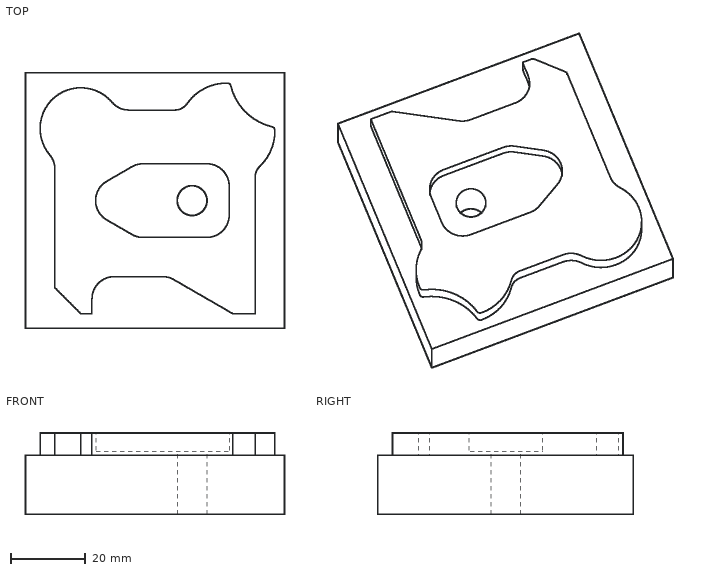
import cadquery as cq
import math

LENGTH = 70.0
WIDTH = 69.0
BASE_HEIGHT = 15.95
TOTAL_HEIGHT = 22.0
PAD_HEIGHT = TOTAL_HEIGHT - BASE_HEIGHT

SIDE_MARGIN = 8.0
PAD_LEFT = SIDE_MARGIN
PAD_RIGHT = LENGTH - SIDE_MARGIN
PAD_BOTTOM = 4.0
PAD_TOP = 58.95
FOOT_CHAMFER = 7.0
LEFT_FOOT_INNER = 18.0
RIGHT_FOOT_INNER = 56.0
ARCH_TOP = 14.0
SLOPE_ANGLE = math.radians(30)

LEFT_LOBE = (15.0, 54.0)
LEFT_LOBE_RADIUS = 11.0
RIGHT_LOBE = (54.3, 53.2)
RIGHT_LOBE_RADIUS = 13.0
CORNER_CUT_RADIUS = 15.0

BLEND_RADIUS = 6.0
RIGHT_BLEND_RADIUS = 4.0
TIP_RADIUS = 1.0

MID_Y = WIDTH / 2
POCKET_RIGHT = 55.0
POCKET_HALF_WIDTH = 9.95
POCKET_NOSE_X = 25.0
POCKET_DEPTH = 5.0
HOLE_X = 45.0
HOLE_DIAMETER = 8.0


def half_chord(radius, distance):
    """Half the length of a circle's chord at a distance from its centre."""
    return math.sqrt(radius**2 - distance**2)


def circle_crossings(center_a, radius_a, center_b, radius_b):
    """Both points where two circles meet."""
    dx = center_b[0] - center_a[0]
    dy = center_b[1] - center_a[1]
    gap = math.hypot(dx, dy)
    along = (gap**2 + radius_a**2 - radius_b**2) / (2 * gap)
    across = half_chord(radius_a, along)
    middle_x = center_a[0] + along * dx / gap
    middle_y = center_a[1] + along * dy / gap
    return [
        (middle_x - side * across * dy / gap, middle_y + side * across * dx / gap)
        for side in (1, -1)
    ]


def round_edges(pad, points, radius):
    """Fillet the vertical edges of the pad at the given plan points."""
    for x, y in points:
        middle = (x, y, BASE_HEIGHT + PAD_HEIGHT / 2)
        pad = pad.edges("|Z").edges(cq.NearestToPointSelector(middle)).fillet(radius)
    return pad


def prism(outline, bottom, height):
    return cq.Workplane("XY", origin=(0, 0, bottom)).polyline(outline).close().extrude(height)


def cylinder(center, radius, bottom, height):
    return cq.Workplane("XY", origin=(0, 0, bottom)).center(*center).circle(radius).extrude(height)


def make_pad():
    slope_run = (ARCH_TOP - PAD_BOTTOM) / math.tan(SLOPE_ANGLE)
    arch_left = (LEFT_FOOT_INNER, ARCH_TOP)
    arch_right = (RIGHT_FOOT_INNER - slope_run, ARCH_TOP)
    outline = [
        (PAD_LEFT, PAD_BOTTOM + FOOT_CHAMFER),
        (PAD_LEFT + FOOT_CHAMFER, PAD_BOTTOM),
        (LEFT_FOOT_INNER, PAD_BOTTOM),
        arch_left,
        arch_right,
        (RIGHT_FOOT_INNER, PAD_BOTTOM),
        (PAD_RIGHT, PAD_BOTTOM),
        (PAD_RIGHT, PAD_TOP),
        (PAD_LEFT, PAD_TOP),
    ]
    pad = prism(outline, BASE_HEIGHT, PAD_HEIGHT)
    pad = pad.union(cylinder(LEFT_LOBE, LEFT_LOBE_RADIUS, BASE_HEIGHT, PAD_HEIGHT))
    pad = pad.union(cylinder(RIGHT_LOBE, RIGHT_LOBE_RADIUS, BASE_HEIGHT, PAD_HEIGHT))
    plate_corner = (LENGTH, WIDTH)
    pad = pad.cut(cylinder(plate_corner, CORNER_CUT_RADIUS, BASE_HEIGHT, PAD_HEIGHT))

    left_top_x = LEFT_LOBE[0] + half_chord(LEFT_LOBE_RADIUS, PAD_TOP - LEFT_LOBE[1])
    left_side_y = LEFT_LOBE[1] - half_chord(LEFT_LOBE_RADIUS, LEFT_LOBE[0] - PAD_LEFT)
    right_top_x = RIGHT_LOBE[0] - half_chord(RIGHT_LOBE_RADIUS, PAD_TOP - RIGHT_LOBE[1])
    right_side_y = RIGHT_LOBE[1] - half_chord(RIGHT_LOBE_RADIUS, PAD_RIGHT - RIGHT_LOBE[0])
    left_joints = [(left_top_x, PAD_TOP), (PAD_LEFT, left_side_y)]
    right_joints = [(right_top_x, PAD_TOP), (PAD_RIGHT, right_side_y)]
    tips = circle_crossings(RIGHT_LOBE, RIGHT_LOBE_RADIUS, plate_corner, CORNER_CUT_RADIUS)

    pad = round_edges(pad, [arch_left, arch_right] + left_joints, BLEND_RADIUS)
    pad = round_edges(pad, right_joints, RIGHT_BLEND_RADIUS)
    return round_edges(pad, tips, TIP_RADIUS)


def make_pocket():
    point_x = POCKET_NOSE_X - BLEND_RADIUS / math.sin(SLOPE_ANGLE)
    shoulder_x = point_x + POCKET_HALF_WIDTH / math.tan(SLOPE_ANGLE)
    low_y = MID_Y - POCKET_HALF_WIDTH
    high_y = MID_Y + POCKET_HALF_WIDTH
    outline = [
        (point_x, MID_Y),
        (shoulder_x, low_y),
        (POCKET_RIGHT, low_y),
        (POCKET_RIGHT, high_y),
        (shoulder_x, high_y),
    ]
    pocket = prism(outline, TOTAL_HEIGHT - POCKET_DEPTH, POCKET_DEPTH)
    return pocket.edges("|Z").fillet(BLEND_RADIUS)


base = cq.Workplane("XY").box(LENGTH, WIDTH, BASE_HEIGHT, centered=False)
hole = cylinder((HOLE_X, MID_Y), HOLE_DIAMETER / 2, 0, TOTAL_HEIGHT)
result = base.union(make_pad()).cut(make_pocket()).cut(hole)